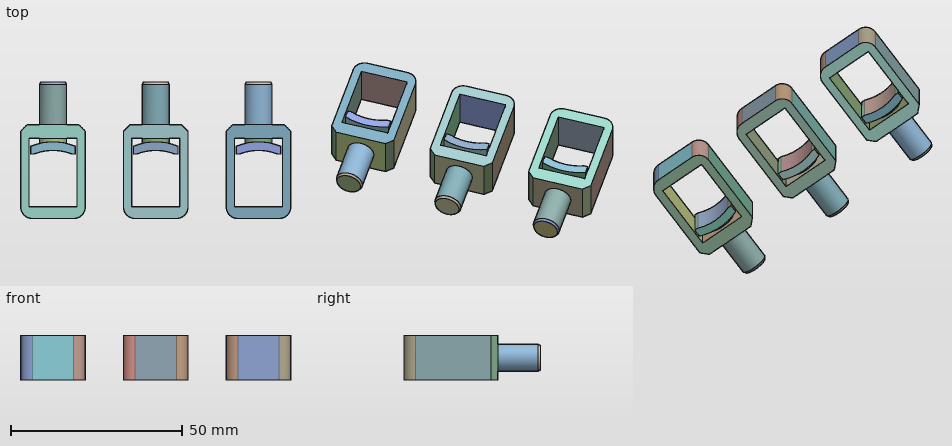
import cadquery as cq
import math

clamp_count = 3
overall_length = 79.0
frame_width = 18.95
clamp_pitch = (overall_length - frame_width) / (clamp_count - 1)

frame_height = 13.0
opening_width = 14.0
opening_depth = 20.0
front_wall = 3.5
rear_wall = 4.0
frame_depth = front_wall + opening_depth + rear_wall
opening_rear = front_wall + opening_depth
front_corner_radius = 3.5
rear_corner_chamfer = 2.0

shank_diameter = 8.0
overall_depth = 40.0
tip_chamfer_length = 0.7
tip_chamfer_depth = 0.4

pad_width = 13.1
pad_gap = 1.0
pad_thickness = 2.5
pad_inner_radius = 15.0
pad_outer_radius = pad_inner_radius + pad_thickness
pad_land = 1.1


def make_frame():
    outline = (
        cq.Workplane("XY")
        .box(frame_width, frame_depth, frame_height, centered=(True, False, True))
        .edges("|Z and <Y")
        .fillet(front_corner_radius)
        .edges("|Z and >Y")
        .chamfer(rear_corner_chamfer)
    )
    opening = (
        cq.Workplane("XY")
        .box(opening_width, opening_depth, frame_height, centered=(True, False, True))
        .translate((0, front_wall, 0))
    )
    return outline.cut(opening)


def make_shank():
    inner_end = opening_rear - pad_gap - pad_thickness / 2
    radius = shank_diameter / 2
    half_profile = [
        (0, inner_end),
        (radius, inner_end),
        (radius, overall_depth - tip_chamfer_length),
        (radius - tip_chamfer_depth, overall_depth),
        (0, overall_depth),
    ]
    return cq.Workplane("XY").polyline(half_profile).close().revolve(360, (0, 0), (0, 1))


def arc_drop(radius, half_chord):
    """Distance from the crown of an arc down to its chord."""
    return radius - math.sqrt(radius**2 - half_chord**2)


def make_pad():
    half_width = pad_width / 2
    hollow_half_width = half_width - pad_land
    outer_crown = opening_rear - pad_gap
    inner_crown = outer_crown - pad_thickness
    outer_end = outer_crown - arc_drop(pad_outer_radius, half_width)
    land = inner_crown - arc_drop(pad_inner_radius, hollow_half_width)
    return (
        cq.Workplane("XY")
        .moveTo(-half_width, outer_end)
        .threePointArc((0, outer_crown), (half_width, outer_end))
        .lineTo(half_width, land)
        .lineTo(hollow_half_width, land)
        .threePointArc((0, inner_crown), (-hollow_half_width, land))
        .lineTo(-half_width, land)
        .close()
        .extrude(frame_height / 2, both=True)
    )


def make_clamp():
    return make_frame().union(make_shank()).union(make_pad())


clamp = make_clamp()
clamps = []
for index in range(clamp_count):
    offset = (index - (clamp_count - 1) / 2) * clamp_pitch
    clamps.append(clamp.translate((offset, 0, 0)).val())

result = cq.Compound.makeCompound([body.Solids()[0] for body in clamps])